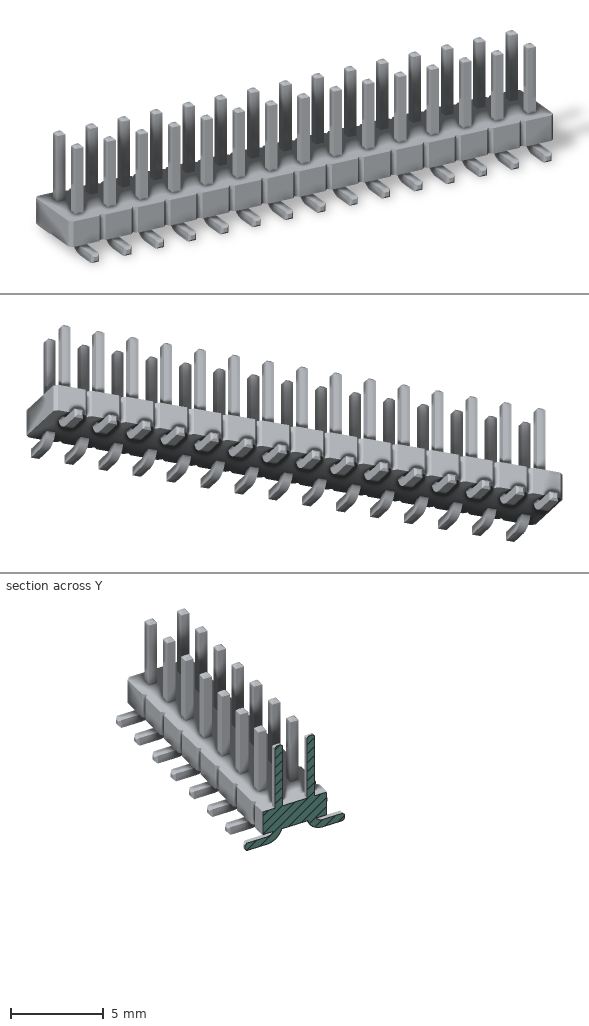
import cadquery as cq
import math

POSITIONS = 15
PITCH = 2.0

BODY_WIDTH = 2 * PITCH
BODY_HEIGHT = 1.5
BODY_BOTTOM = 0.7
CORNER_CHAMFER = 0.2

PIN_SIZE = 0.5
PIN_TOP = 6.2
FOOT_SPAN = 6.2
INNER_BEND = 0.5
TIP_CHAMFER = PIN_SIZE / 4
TIP_SIZE = PIN_SIZE - 2 * TIP_CHAMFER


def position_y(index):
    """Y of a contact position, the row being centred on the origin."""
    return (index - (POSITIONS - 1) / 2) * PITCH


def body():
    """Body bar whose long sides carry a V-notch between positions and a bevel at each end."""
    flat_x = BODY_WIDTH / 2 - CORNER_CHAMFER
    half_length = POSITIONS * PITCH / 2
    flat_half = PITCH / 2 - CORNER_CHAMFER

    right_side = [(flat_x, -half_length)]
    for index in range(POSITIONS):
        y = position_y(index)
        right_side.append((BODY_WIDTH / 2, y - flat_half))
        right_side.append((BODY_WIDTH / 2, y + flat_half))
        right_side.append((flat_x, y + PITCH / 2))
    left_side = [(-x, y) for x, y in reversed(right_side)]

    return (
        cq.Workplane("XY", origin=(0, 0, BODY_BOTTOM))
        .polyline(right_side + left_side)
        .close()
        .extrude(BODY_HEIGHT)
    )


def tapered_tip(plane):
    """Pyramid-shaped wire end, growing along the plane's normal."""
    return (
        cq.Workplane(plane)
        .rect(PIN_SIZE, PIN_SIZE)
        .workplane(offset=TIP_CHAMFER)
        .rect(TIP_SIZE, TIP_SIZE)
        .loft(ruled=True)
    )


def bent_pin():
    """Pin of the +X row at Y = 0: upright post, bend and outward foot."""
    half = PIN_SIZE / 2
    post_x = PITCH / 2
    bend_x = post_x + half + INNER_BEND
    bend_z = PIN_SIZE + INNER_BEND
    foot_end = FOOT_SPAN / 2 - TIP_CHAMFER
    post_end = PIN_TOP - TIP_CHAMFER

    diagonal = math.sqrt(0.5)
    inner_offset = INNER_BEND * diagonal
    outer_offset = (INNER_BEND + PIN_SIZE) * diagonal

    wire = (
        cq.Workplane("XZ")
        .moveTo(post_x - half, post_end)
        .lineTo(post_x - half, bend_z)
        .threePointArc((bend_x - outer_offset, bend_z - outer_offset), (bend_x, 0))
        .lineTo(foot_end, 0)
        .lineTo(foot_end, PIN_SIZE)
        .lineTo(bend_x, PIN_SIZE)
        .threePointArc((bend_x - inner_offset, bend_z - inner_offset), (post_x + half, bend_z))
        .lineTo(post_x + half, post_end)
        .close()
        .extrude(half, both=True)
    )
    post_tip = tapered_tip(cq.Plane.XY(origin=(post_x, 0, post_end)))
    foot_tip = tapered_tip(cq.Plane.YZ(origin=(foot_end, 0, half)))
    return wire.union(post_tip).union(foot_tip)


right_pin = bent_pin().val()
left_pin = right_pin.mirror("YZ")

pins = []
for index in range(POSITIONS):
    offset = cq.Vector(0, position_y(index), 0)
    pins.append(right_pin.translate(offset))
    pins.append(left_pin.translate(offset))

result = cq.Workplane(body().val().fuse(*pins))